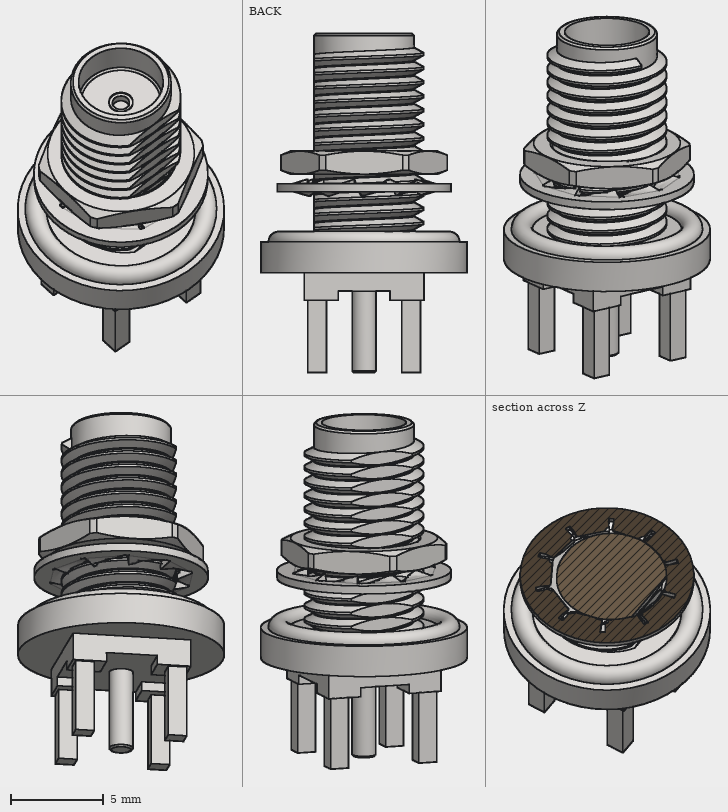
import cadquery as cq
import math


flange_radius = 5.6
flange_top = 1.67
bead_ring_radius = 4.62
bead_radius = 0.57

barrel_radius = 2.72
barrel_top = 12.97
barrel_chamfer = 0.12
socket_radius = 2.29
socket_floor_radius = 2.16
socket_depth = 1.8
socket_taper_height = 0.1

thread_radius = 3.24
thread_pitch = 0.763
thread_turns = 14
thread_end_height = 11.86
thread_start_height = thread_end_height - thread_turns * thread_pitch
crest_width = 0.13
root_width = 0.7
ridge_overlap = 0.05
flat_distance = barrel_radius

lowest_point = -5.42
contact_radius = 0.65
contact_chamfer = 0.1
contact_hole_radius = 0.46
contact_hole_depth = 0.5
contact_recess = 0.07
block_side = 6.5
block_height = 1.0
pad_side = 1.85
pad_height = 0.5
leg_side = 1.03
leg_spacing = 5.1

nut_bottom = 5.34
nut_height = 1.26
nut_across_flats = 8.0
nut_corner_radius = 4.51
nut_bevel_radius = 3.98
nut_bevel_height = 0.22
nut_bore_radius = 2.8
nut_countersink_radius = 3.08
nut_countersink_depth = nut_countersink_radius - nut_bore_radius
nut_thread_first_turn = 5
nut_thread_turns = 3

washer_bottom = 4.39
washer_thickness = 0.44
washer_radius = 4.72
washer_rim_inner_radius = 3.95
tooth_tip_radius = 3.0
tooth_count = 10
tooth_tip_width = 1.76
tooth_root_width = 2.2
tooth_twist_start = 3.78
tooth_root_end = 4.2
tooth_twist = 17
first_tooth_angle = -6
washer_thread_first_turn = 3
washer_thread_turns = 3


def cylinder(radius, bottom, top):
    return cq.Workplane("XY").workplane(offset=bottom).circle(radius).extrude(top - bottom)


def square_prism(side, bottom, top, centre=(0, 0)):
    return cq.Workplane("XY").workplane(offset=bottom).center(*centre).rect(side, side).extrude(top - bottom)


def make_thread_ridge(first_turn, turns):
    """Stretch of the helical ridge, of trapezoidal section, that starts and ends on the -X side."""
    flank_growth = (root_width - crest_width) / (thread_radius - barrel_radius)
    base_half = (root_width + ridge_overlap * flank_growth) / 2
    base_radius = barrel_radius - ridge_overlap
    helix = cq.Wire.makeHelix(thread_pitch, turns * thread_pitch, barrel_radius)
    ridge = (
        cq.Workplane("XZ")
        .moveTo(base_radius, -base_half)
        .lineTo(thread_radius, -crest_width / 2)
        .lineTo(thread_radius, crest_width / 2)
        .lineTo(base_radius, base_half)
        .close()
        .sweep(cq.Workplane(obj=helix), isFrenet=True)
    )
    start_height = thread_start_height + first_turn * thread_pitch
    return ridge.rotate((0, 0, 0), (0, 0, 1), 180).translate((0, 0, start_height))


def make_bead():
    return (
        cq.Workplane("XZ")
        .center(bead_ring_radius, flange_top)
        .circle(bead_radius)
        .revolve(360, (-bead_ring_radius, 0), (-bead_ring_radius, 1))
    )


def make_socket():
    """Bore in the barrel's top, tapering to its floor, with the contact's hole below."""
    floor = barrel_top - socket_depth
    profile = [
        (0, barrel_top),
        (socket_radius, barrel_top),
        (socket_radius, floor + socket_taper_height),
        (socket_floor_radius, floor),
        (contact_radius, floor),
        (contact_radius, floor - contact_recess),
        (contact_hole_radius, floor - contact_recess),
        (contact_hole_radius, floor - contact_hole_depth),
        (0, floor - contact_hole_depth),
    ]
    return cq.Workplane("XZ").polyline(profile).close().revolve(360, (0, 0), (0, 1))


def make_contact():
    return cylinder(contact_radius, lowest_point, 0).faces("<Z").chamfer(contact_chamfer)


def make_mount():
    """Square block with a pad and a leg at each corner."""
    mount = square_prism(block_side, -block_height, 0)
    pad_offset = (block_side - pad_side) / 2
    leg_offset = leg_spacing / 2
    pad_bottom = -block_height - pad_height
    for x_side in (-1, 1):
        for y_side in (-1, 1):
            pad_centre = (x_side * pad_offset, y_side * pad_offset)
            leg_centre = (x_side * leg_offset, y_side * leg_offset)
            mount = mount.union(square_prism(pad_side, pad_bottom, -block_height, pad_centre))
            mount = mount.union(square_prism(leg_side, lowest_point, pad_bottom, leg_centre))
    return mount


def make_external_thread():
    """Whole ridge with its crests cut flat on the +X side."""
    flat_cutter = (
        cq.Workplane("XY")
        .box(thread_radius, 3 * thread_radius, barrel_top, centered=(False, True, False))
        .translate((flat_distance, 0, 0))
    )
    return make_thread_ridge(0, thread_turns).cut(flat_cutter)


def make_housing():
    flange = cylinder(flange_radius, 0, flange_top)
    barrel = cylinder(barrel_radius, 0, barrel_top).faces(">Z").chamfer(barrel_chamfer)
    body = barrel.union(flange).union(make_bead()).cut(make_socket())
    body = body.union(make_mount()).union(make_contact())
    return body.union(make_external_thread())


def make_nut():
    """Hexagon with corners on +X and -X, bevelled at both ends and threaded inside."""
    across_corners = nut_across_flats / math.cos(math.pi / 6)
    nut_top = nut_bottom + nut_height
    hexagon = cq.Workplane("XY").workplane(offset=nut_bottom).polygon(6, across_corners).extrude(nut_height)
    bevel_profile = [
        (0, nut_bottom),
        (nut_bevel_radius, nut_bottom),
        (nut_corner_radius, nut_bottom + nut_bevel_height),
        (nut_corner_radius, nut_top - nut_bevel_height),
        (nut_bevel_radius, nut_top),
        (0, nut_top),
    ]
    bevelled_blank = cq.Workplane("XZ").polyline(bevel_profile).close().revolve(360, (0, 0), (0, 1))
    bore_profile = [
        (0, nut_bottom),
        (nut_countersink_radius, nut_bottom),
        (nut_bore_radius, nut_bottom + nut_countersink_depth),
        (nut_bore_radius, nut_top - nut_countersink_depth),
        (nut_countersink_radius, nut_top),
        (0, nut_top),
    ]
    bore = cq.Workplane("XZ").polyline(bore_profile).close().revolve(360, (0, 0), (0, 1))
    groove = make_thread_ridge(nut_thread_first_turn, nut_thread_turns)
    return hexagon.intersect(bevelled_blank).cut(groove).cut(bore)


def make_tooth():
    """One tooth along +X: a short flat root in the rim, then a stretch that twists to its tip."""
    middle = washer_bottom + washer_thickness / 2
    twisted_part = (
        cq.Workplane("YZ", origin=(tooth_tip_radius, 0, middle))
        .transformed(rotate=(0, 0, tooth_twist))
        .rect(tooth_tip_width, washer_thickness)
        .transformed(rotate=(0, 0, -tooth_twist))
        .workplane(offset=tooth_twist_start - tooth_tip_radius)
        .rect(tooth_root_width, washer_thickness)
        .loft(ruled=True)
    )
    root = (
        cq.Workplane("YZ", origin=(tooth_twist_start, 0, middle))
        .rect(tooth_root_width, washer_thickness)
        .extrude(tooth_root_end - tooth_twist_start)
    )
    return twisted_part.union(root)


def make_washer():
    """Flat rim with a ring of twisted teeth, cleared where the thread passes through."""
    top = washer_bottom + washer_thickness
    rim_opening = cylinder(washer_rim_inner_radius, washer_bottom, top)
    rim = cylinder(washer_radius, washer_bottom, top).cut(rim_opening)
    tooth = make_tooth().val()
    teeth = []
    for index in range(tooth_count):
        angle = first_tooth_angle + index * 360 / tooth_count
        teeth.append(tooth.rotate(cq.Vector(0, 0, 0), cq.Vector(0, 0, 1), angle))
    toothed_ring = rim.val().fuse(*teeth)
    return cq.Workplane(toothed_ring).cut(make_thread_ridge(washer_thread_first_turn, washer_thread_turns))


housing = make_housing()
nut = make_nut()
washer = make_washer()

result = cq.Compound.makeCompound([*housing.vals(), *nut.vals(), *washer.vals()])